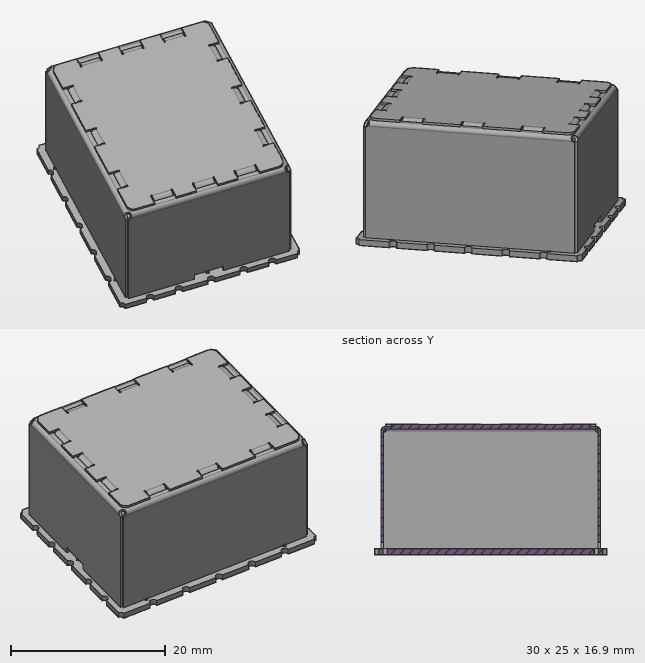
import cadquery as cq
import math

BASE_X = 30.0
BASE_Y = 25.0
BASE_T = 0.8
NOTCH_D = 1.0
NOTCH_X = (-10.0, -5.0, 0.0, 5.0, 10.0)
NOTCH_Y = (-8.5, -4.5, 0.0, 4.5, 8.5)
HOLE_D = 0.5
WALL_HOLE_X = 10.5
PORT_HOLE_X = 13.65

CAN_X = 28.4
CAN_Y = 23.0
SHEET_T = 0.35
BEND_R = 0.62
TOTAL_H = 16.91
PLATE_H = 0.31
CAN_TOP = TOTAL_H - PLATE_H
CORNER_GAP = 0.3
RELIEF_R = 0.53
RELIEF_INSET = 0.25

PORT_W = 4.0
PORT_H = 0.8

PLATE_X = CAN_X - 2 * BEND_R
PLATE_Y = CAN_Y - 2 * BEND_R
PLATE_R = 1.0

RECESS_W = 3.0
RECESS_PITCH_X = 8.0
RECESS_PITCH_Y = 5.8
RAMP_START = 0.6
RAMP_LENGTH = 0.75
SLIT_W = 0.15
SLIT_OVERRUN = 0.1


def block(x_size, y_size, z_low, z_high):
    """Box centred on the Z axis between two heights."""
    body = cq.Workplane("XY").workplane(offset=z_low)
    return body.rect(x_size, y_size).extrude(z_high - z_low)


def make_base():
    """Board with notches round its edge and at its corners, and small through holes."""
    half_x = BASE_X / 2
    half_y = BASE_Y / 2
    notches = [(x, side * half_y) for x in NOTCH_X for side in (-1, 1)]
    notches += [(side * half_x, y) for y in NOTCH_Y for side in (-1, 1)]
    notches += [(sx * half_x, sy * half_y) for sx in (-1, 1) for sy in (-1, 1)]
    holes = [(sx * WALL_HOLE_X, sy * CAN_Y / 2) for sx in (-1, 1) for sy in (-1, 1)]
    holes += [(side * PORT_HOLE_X, 0) for side in (-1, 1)]

    board = block(BASE_X, BASE_Y, 0, BASE_T)
    board = board.cut(cq.Workplane("XY").pushPoints(notches).circle(NOTCH_D / 2).extrude(BASE_T))
    return board.cut(cq.Workplane("XY").pushPoints(holes).circle(HOLE_D / 2).extrude(BASE_T))


def make_can():
    """Hollow folded can with bent roof edges, open corners and two end openings."""
    outside = block(CAN_X, CAN_Y, BASE_T, CAN_TOP).faces(">Z").edges().fillet(BEND_R)
    inside = block(CAN_X - 2 * SHEET_T, CAN_Y - 2 * SHEET_T, BASE_T, CAN_TOP - SHEET_T)
    inside = inside.faces(">Z").edges().fillet(BEND_R - SHEET_T)
    can = outside.cut(inside)

    corners = cq.Workplane("XY").workplane(offset=BASE_T).rect(CAN_X, CAN_Y, forConstruction=True).vertices()
    can = can.cut(corners.rect(2 * CORNER_GAP, 2 * CORNER_GAP).extrude(CAN_TOP - BASE_T))

    centres = cq.Workplane("XY").workplane(offset=CAN_TOP - RELIEF_INSET)
    centres = centres.rect(CAN_X - 2 * RELIEF_INSET, CAN_Y - 2 * RELIEF_INSET, forConstruction=True).vertices()
    can = can.cut(centres.sphere(RELIEF_R))

    return can.cut(block(CAN_X, PORT_W, BASE_T, BASE_T + PORT_H))


def make_recess(rim):
    """Cutter for one recess at the +X rim: a flat step, then a rounded ramp with a slit on each side."""
    ramp_low = rim - RAMP_START
    ramp_high = ramp_low - RAMP_LENGTH
    radius = (RAMP_LENGTH**2 + PLATE_H**2) / (2 * PLATE_H)
    half_angle = math.asin(RAMP_LENGTH / radius) / 2
    ramp_middle = (
        ramp_high + radius * math.sin(half_angle),
        TOTAL_H - radius * (1 - math.cos(half_angle)),
    )
    recess = (
        cq.Workplane("XZ")
        .moveTo(rim, TOTAL_H)
        .lineTo(rim, CAN_TOP)
        .lineTo(ramp_low, CAN_TOP)
        .threePointArc(ramp_middle, (ramp_high, TOTAL_H))
        .close()
        .extrude(RECESS_W / 2, both=True)
    )
    slit_length = RAMP_LENGTH + SLIT_OVERRUN
    slit_y = (RECESS_W - SLIT_W) / 2
    for side in (-1, 1):
        slit = block(slit_length, SLIT_W, CAN_TOP, TOTAL_H)
        recess = recess.union(slit.translate((ramp_low - slit_length / 2, side * slit_y, 0)))
    return recess


def make_plate():
    """Raised roof panel with three recesses along each side."""
    plate = block(PLATE_X, PLATE_Y, CAN_TOP, TOTAL_H).edges("|Z").fillet(PLATE_R)
    end_recess = make_recess(PLATE_X / 2)
    side_recess = make_recess(PLATE_Y / 2)
    for step in (-1, 0, 1):
        on_end = end_recess.translate((0, step * RECESS_PITCH_Y, 0))
        on_side = side_recess.translate((0, step * RECESS_PITCH_X, 0))
        for turn in (0, 180):
            plate = plate.cut(on_end.rotate((0, 0, 0), (0, 0, 1), turn))
            plate = plate.cut(on_side.rotate((0, 0, 0), (0, 0, 1), turn + 90))
    return plate


result = make_base().union(make_can()).union(make_plate())